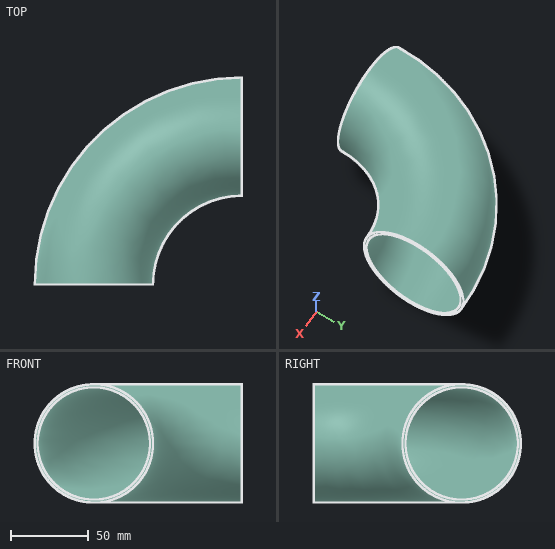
import cadquery as cq

overall_length = 133.0
pipe_diameter = 76.1
wall_thickness = 2.0
bend_angle = 90.0

outer_radius = pipe_diameter / 2
inner_radius = outer_radius - wall_thickness
bend_radius = overall_length - outer_radius

result = (
    cq.Workplane("XZ")
    .center(-bend_radius, 0)
    .circle(outer_radius)
    .circle(inner_radius)
    .revolve(bend_angle, (bend_radius, 0, 0), (bend_radius, -1, 0))
)